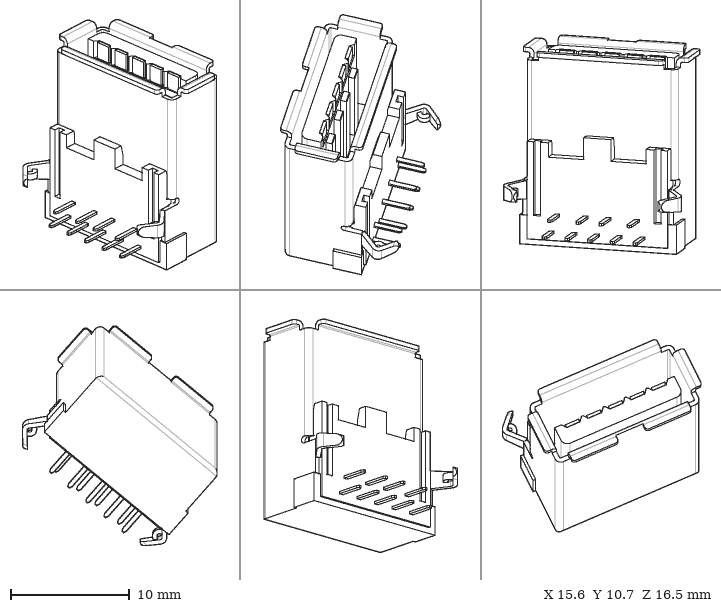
import cadquery as cq
import math


WALL = 0.4
MOUTH_X = 12.5
MOUTH_Y = 5.12
SHELL_X = MOUTH_X + 2 * WALL
SHELL_Y = MOUTH_Y + 2 * WALL
SHELL_CORNER = 0.53
RIM_Z = 15.68
TOP_Z = 16.5
FRONT_WALL_Z = 6.14
CHEEK_Z = 5.55
CHEEK_FRONT = -3.85
RELIEF_BACK = -2.08

LIP_REACH = 0.63
LIP_BEND = 0.1
LIP_CORNER = 0.28
FRONT_LIP = 11.05
SIDE_LIP = 3.7
BACK_LIP_GAP = 2.5

HOUSING_X = 12.35
HOUSING_FRONT = -4.11
HOUSING_BOTTOM = 0.51
FOOT_X = 13.8
FOOT_FRONT = -3.91
FOOT_BACK = -1.44
FOOT_Z = 2.52
PLATE_GAP = 0.12
PLATE_BEVEL_Y = 0.26
PLATE_BEVEL_Z = 1.05
TAB_X = 2.4
TAB_Z = 9.57
POST_INNER = 4.3
POST_Z = 8.93
SADDLE_Z = 7.69
GROOVE_X = 0.61
GROOVE_CENTRE = 5.31
GROOVE_DEPTH = 0.51
GROOVE_BOTTOM = 2.57

TONGUE_X = 11.09
TONGUE_FRONT = -0.02
TONGUE_BACK = 1.8
TONGUE_TOP = 16.02
TONGUE_CORNER = 0.6
POCKET_MOUTH = 1.85
POCKET_FLOOR = 1.25
POCKET_DEPTH = 0.4
POCKET_Z = 1.55
PAD_THICK = 0.28
PAD_DROP = 0.05
SPRING_X = 0.99
SPRING_DEPTH = 0.55
SPRING_TOP = 13.86
SPRING_BEVEL = 0.05

LOWER_PITCH = 2.0
LOWER_ROW = [i * LOWER_PITCH for i in range(-2, 3)]
UPPER_ROW = [-3.5, -1.0, 1.0, 3.5]
LOWER_ROW_Z = 1.25
UPPER_ROW_Z = 2.74
PIN_X = 0.4
PIN_Z = 0.2
PIN_TIP_X = 0.2
PIN_TAPER = 0.25
PIN_END = -6.5

CLIP_SPAN_X = 15.6
BEND_OUTER = 0.61
BEND_INNER = BEND_OUTER - WALL
BEND_X = BEND_OUTER - CLIP_SPAN_X / 2
BEND_Y = -5.48
UPPER_LEG_ANGLE = 40
LOWER_LEG_ANGLE = 42
UPPER_LEG = 1.72
LOWER_LEG = 1.68
CLIP_ROOT_Z = 1.62
CLIP_END_Z = 1.02
CLIP_TIP_Y = -7.08
CLIP_NOSE = 0.38
CLIP_MID_Z = CHEEK_Z - CLIP_ROOT_Z / 2
FINGER_Z = 0.6


def block(x0, x1, y0, y1, z0, z1):
    """Box given by its limits along each axis."""
    return cq.Workplane("XY").box(x1 - x0, y1 - y0, z1 - z0, centered=False).translate((x0, y0, z0))


def both_sides(half):
    """The given solid and its mirror image across the YZ plane."""
    return half.union(half.mirror("YZ"))


def make_shell():
    """Open-mouthed shell, filled solid below the cheek tops, with a cheek on each side."""
    blank = cq.Workplane("XY").box(SHELL_X, SHELL_Y, RIM_Z, centered=(True, True, False))
    rounded_back = blank.edges(">Y and <Z").fillet(WALL)
    outer = blank.edges("|Z").fillet(SHELL_CORNER).intersect(rounded_back)
    cavity = (
        cq.Workplane("XY", origin=(0, 0, CHEEK_Z))
        .box(MOUTH_X, MOUTH_Y, RIM_Z, centered=(True, True, False))
        .edges("|Z").fillet(SHELL_CORNER - WALL)
    )
    cheeks = both_sides(block(MOUTH_X / 2, SHELL_X / 2, CHEEK_FRONT, 0, 0, CHEEK_Z))
    relief_height = FRONT_WALL_Z - CHEEK_Z
    relief_end = RELIEF_BACK - relief_height / 2
    relief = block(-SHELL_X, SHELL_X, -SHELL_Y, relief_end, CHEEK_Z, FRONT_WALL_Z).union(
        cq.Workplane("YZ", origin=(0, relief_end, CHEEK_Z + relief_height / 2))
        .circle(relief_height / 2)
        .extrude(SHELL_X, both=True)
    )
    return outer.union(cheeks).cut(cavity).cut(relief)


def make_lip(face, length, gap=0):
    """Outward lip on the -Y wall whose outer face is at the given distance from the axis."""
    bend_outer = LIP_BEND + WALL
    bend_y = face + LIP_BEND
    bend_z = TOP_Z - bend_outer
    diagonal = math.sqrt(0.5)
    lip = (
        cq.Workplane("YZ")
        .moveTo(-(face - WALL), RIM_Z)
        .lineTo(-(face - WALL), bend_z)
        .threePointArc(
            (-(bend_y - bend_outer * diagonal), bend_z + bend_outer * diagonal),
            (-bend_y, TOP_Z),
        )
        .lineTo(-(face + LIP_REACH), TOP_Z)
        .lineTo(-(face + LIP_REACH), TOP_Z - WALL)
        .lineTo(-bend_y, TOP_Z - WALL)
        .threePointArc(
            (-(bend_y - LIP_BEND * diagonal), bend_z + LIP_BEND * diagonal),
            (-face, bend_z),
        )
        .lineTo(-face, RIM_Z)
        .close()
        .extrude(length / 2, both=True)
    )
    if gap:
        lip = lip.cut(block(-gap / 2, gap / 2, -face - LIP_REACH, -face, RIM_Z, TOP_Z))
    return lip.edges("|Z and <Y").fillet(LIP_CORNER)


def make_lips():
    """One lip on each shell wall; the back one has a gap in its middle."""
    axis = ((0, 0, 0), (0, 0, 1))
    side = make_lip(SHELL_X / 2, SIDE_LIP)
    return (
        make_lip(SHELL_Y / 2, FRONT_LIP)
        .union(make_lip(SHELL_Y / 2, FRONT_LIP, BACK_LIP_GAP).rotate(*axis, 180))
        .union(side.rotate(*axis, 90))
        .union(side.rotate(*axis, -90))
    )


def make_housing():
    """Front plate with grooved posts and a centre tab, standing on a wider foot."""
    half = HOUSING_X / 2
    plate_back = -SHELL_Y / 2 - PLATE_GAP
    plate = (
        cq.Workplane("YZ")
        .polyline([
            (-MOUTH_Y / 2, HOUSING_BOTTOM),
            (HOUSING_FRONT, HOUSING_BOTTOM),
            (HOUSING_FRONT, TAB_Z),
            (plate_back - PLATE_BEVEL_Y, TAB_Z),
            (plate_back, TAB_Z - PLATE_BEVEL_Z),
            (plate_back, FRONT_WALL_Z),
            (-MOUTH_Y / 2, FRONT_WALL_Z),
        ])
        .close()
        .extrude(half, both=True)
    )
    saddle = block(TAB_X / 2, POST_INNER, HOUSING_FRONT, plate_back, SADDLE_Z, TAB_Z)
    above_post = block(POST_INNER, half, HOUSING_FRONT, plate_back, POST_Z, TAB_Z)
    groove = block(
        GROOVE_CENTRE - GROOVE_X / 2, GROOVE_CENTRE + GROOVE_X / 2,
        HOUSING_FRONT, HOUSING_FRONT + GROOVE_DEPTH,
        GROOVE_BOTTOM, POST_Z,
    )
    plate = plate.cut(both_sides(saddle)).cut(both_sides(above_post)).cut(both_sides(groove))
    foot = block(-FOOT_X / 2, FOOT_X / 2, FOOT_FRONT, FOOT_BACK, 0, FOOT_Z)
    return foot.union(plate)


def make_tongue():
    """Tongue with five recessed contact pads and four spring contacts in front of it."""
    tongue = (
        block(-TONGUE_X / 2, TONGUE_X / 2, TONGUE_FRONT, TONGUE_BACK, CHEEK_Z, TONGUE_TOP)
        .edges("|Z and >Y").fillet(TONGUE_CORNER)
    )
    pocket_bottom = TONGUE_TOP - POCKET_Z
    pocket_back = TONGUE_FRONT + POCKET_DEPTH
    for x in LOWER_ROW:
        pocket = (
            cq.Workplane("XY", origin=(x, 0, pocket_bottom))
            .polyline([
                (-POCKET_MOUTH / 2, TONGUE_FRONT),
                (POCKET_MOUTH / 2, TONGUE_FRONT),
                (POCKET_FLOOR / 2, pocket_back),
                (-POCKET_FLOOR / 2, pocket_back),
            ])
            .close()
            .extrude(POCKET_Z)
        )
        pad = block(
            x - POCKET_FLOOR / 2, x + POCKET_FLOOR / 2,
            pocket_back - PAD_THICK, pocket_back,
            pocket_bottom, TONGUE_TOP - PAD_DROP,
        )
        tongue = tongue.cut(pocket).union(pad)
    for x in UPPER_ROW:
        spring = block(
            x - SPRING_X / 2, x + SPRING_X / 2,
            TONGUE_FRONT - SPRING_DEPTH, TONGUE_FRONT,
            CHEEK_Z, SPRING_TOP,
        ).edges("<Y and >Z").chamfer(SPRING_BEVEL)
        tongue = tongue.union(spring)
    return tongue


def make_pin(x, z):
    """Flat pin along -Y with a tapered tip."""
    return (
        cq.Workplane("XY", origin=(x, 0, z))
        .polyline([
            (-PIN_X / 2, FOOT_FRONT),
            (-PIN_X / 2, PIN_END + PIN_TAPER),
            (-PIN_TIP_X / 2, PIN_END),
            (PIN_TIP_X / 2, PIN_END),
            (PIN_X / 2, PIN_END + PIN_TAPER),
            (PIN_X / 2, FOOT_FRONT),
        ])
        .close()
        .extrude(PIN_Z / 2, both=True)
    )


def clip_point(radius, angle, along=0):
    """Point on a circle about the bend, then moved clockwise along the tangent there."""
    a = math.radians(angle)
    return (
        BEND_X + radius * math.cos(a) + along * math.sin(a),
        BEND_Y + radius * math.sin(a) - along * math.cos(a),
    )


def make_clip():
    """Left board clip: a bent strip that narrows to a rounded end, with a curled finger."""
    upper = 180 - UPPER_LEG_ANGLE
    lower = 180 + LOWER_LEG_ANGLE
    middle = (upper + lower) / 2
    strip = (
        cq.Workplane("XY", origin=(0, 0, CLIP_MID_Z))
        .moveTo(*clip_point(BEND_OUTER, upper, UPPER_LEG))
        .lineTo(*clip_point(BEND_OUTER, upper))
        .threePointArc(clip_point(BEND_OUTER, middle), clip_point(BEND_OUTER, lower))
        .lineTo(*clip_point(BEND_OUTER, lower, -LOWER_LEG))
        .lineTo(*clip_point(BEND_INNER, lower, -LOWER_LEG))
        .lineTo(*clip_point(BEND_INNER, lower))
        .threePointArc(clip_point(BEND_INNER, middle), clip_point(BEND_INNER, upper))
        .lineTo(*clip_point(BEND_INNER, upper, UPPER_LEG))
        .close()
        .extrude(CLIP_ROOT_Z / 2, both=True)
    )
    taper = (
        cq.Workplane("YZ", origin=(0, 0, CLIP_MID_Z))
        .moveTo(FOOT_FRONT + WALL, CLIP_ROOT_Z / 2)
        .lineTo(FOOT_FRONT, CLIP_ROOT_Z / 2)
        .lineTo(CLIP_TIP_Y + CLIP_NOSE, CLIP_END_Z / 2)
        .threePointArc((CLIP_TIP_Y, 0), (CLIP_TIP_Y + CLIP_NOSE, -CLIP_END_Z / 2))
        .lineTo(FOOT_FRONT, -CLIP_ROOT_Z / 2)
        .lineTo(FOOT_FRONT + WALL, -CLIP_ROOT_Z / 2)
        .close()
        .extrude(-SHELL_X)
    )
    finger = (
        cq.Workplane("XY", origin=(BEND_X, BEND_Y, CLIP_MID_Z))
        .moveTo(0, BEND_OUTER)
        .threePointArc((BEND_OUTER, 0), (0, -BEND_OUTER))
        .lineTo(0, -BEND_INNER)
        .threePointArc((BEND_INNER, 0), (0, BEND_INNER))
        .close()
        .extrude(FINGER_Z / 2, both=True)
    )
    return strip.intersect(taper).union(finger)


result = make_shell().union(make_lips()).union(make_housing()).union(make_tongue())
for pin_x in LOWER_ROW:
    result = result.union(make_pin(pin_x, LOWER_ROW_Z))
for pin_x in UPPER_ROW:
    result = result.union(make_pin(pin_x, UPPER_ROW_Z))
result = result.union(both_sides(make_clip()))